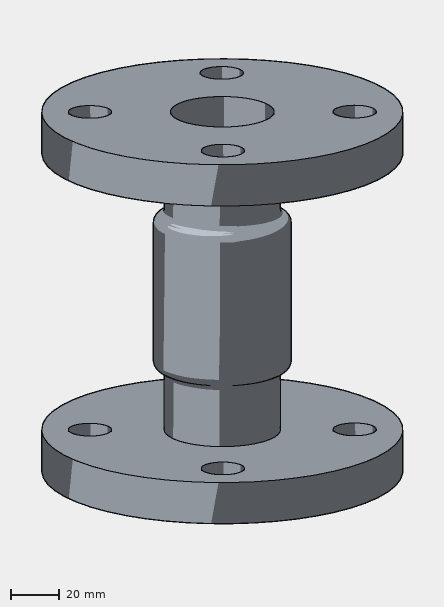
import cadquery as cq
import math

length = 156.0
flange_diameter = 150.0
flange_thickness = 18.0
pipe_diameter = 48.4
body_diameter = 57.4
bore_diameter = 43.0
body_straight_length = 59.6
shoulder_height = 5.8
root_height = 2.5
bolt_hole_diameter = 18.0
bolt_circle_diameter = 110.0
bolt_count = 4
first_bolt_angle = 45.0

flange_radius = flange_diameter / 2
pipe_radius = pipe_diameter / 2
body_radius = body_diameter / 2
half_length = length / 2
flange_inner_z = half_length - flange_thickness
body_z = body_straight_length / 2
shoulder_z = body_z + shoulder_height
junction_z = shoulder_z - root_height

shoulder_step = body_radius - pipe_radius
turn = 2 * math.atan(shoulder_step / shoulder_height)
root_radius = root_height / math.sin(turn)
crown_radius = (shoulder_height - root_height) / math.sin(turn)


def arc_rise(radius, angle):
    """Radial distance covered by an arc that starts parallel to the axis."""
    return radius * (1 - math.cos(angle))


root_middle_radius = pipe_radius + arc_rise(root_radius, turn / 2)
root_middle_z = shoulder_z - root_radius * math.sin(turn / 2)
junction_radius = pipe_radius + arc_rise(root_radius, turn)
crown_middle_radius = body_radius - arc_rise(crown_radius, turn / 2)
crown_middle_z = body_z + crown_radius * math.sin(turn / 2)


def make_spool():
    """Solid of revolution: two flanges, the pipe and the thicker middle body."""
    profile = (
        cq.Workplane("XZ")
        .moveTo(0, -half_length)
        .lineTo(flange_radius, -half_length)
        .lineTo(flange_radius, -flange_inner_z)
        .lineTo(pipe_radius, -flange_inner_z)
        .lineTo(pipe_radius, -shoulder_z)
        .threePointArc((root_middle_radius, -root_middle_z), (junction_radius, -junction_z))
        .threePointArc((crown_middle_radius, -crown_middle_z), (body_radius, -body_z))
        .lineTo(body_radius, body_z)
        .threePointArc((crown_middle_radius, crown_middle_z), (junction_radius, junction_z))
        .threePointArc((root_middle_radius, root_middle_z), (pipe_radius, shoulder_z))
        .lineTo(pipe_radius, flange_inner_z)
        .lineTo(flange_radius, flange_inner_z)
        .lineTo(flange_radius, half_length)
        .lineTo(0, half_length)
        .close()
    )
    return profile.revolve(360, (0, 0, 0), (0, 1, 0))


def make_bore():
    """Central passage through the full length."""
    return cq.Workplane("XY").circle(bore_diameter / 2).extrude(half_length, both=True)


def make_bolt_holes():
    """Matching bolt holes through both flanges."""
    return (
        cq.Workplane("XY")
        .polarArray(bolt_circle_diameter / 2, first_bolt_angle, 360, bolt_count)
        .circle(bolt_hole_diameter / 2)
        .extrude(half_length, both=True)
    )


result = make_spool().cut(make_bore()).cut(make_bolt_holes())